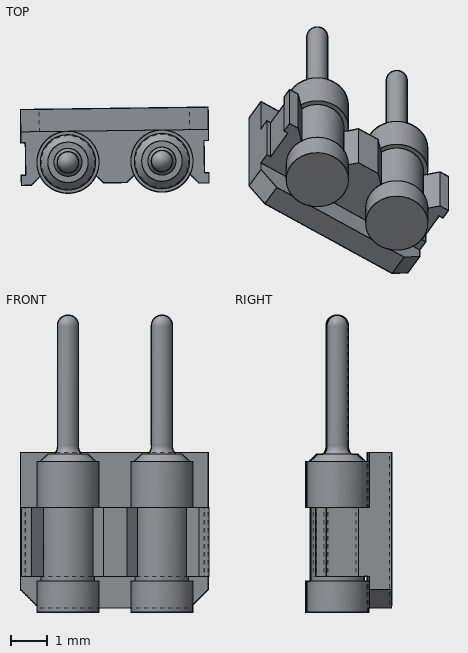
import cadquery as cq
import math

pin_pitch = 2.54
yaw_angle = 0.75

collar_radius = 1.68 / 2
barrel_radius = 1.45 / 2
tail_radius = 0.58 / 2
total_height = 8.05
foot_top = 0.845
collar_bottom = 2.83
shoulder_bottom = 4.09
shoulder_top = 4.28
shoulder_base_radius = 0.75
shoulder_top_radius = 0.55
flare_radius = 0.38
flare_top = 4.53
flare_sag = 0.03

carrier_width = 2 * pin_pitch
plate_back = 1.45
plate_front = collar_radius
plate_bottom = 0.11
plate_top = 4.33
plate_chamfer = 0.51
block_bottom = 0.975
outer_lip_depth = 0.61
middle_lip_depth = 0.57
lead_in_offset = 0.39
lead_in_end = 0.64
side_notch_depth = 0.12
side_notch_back = 0.54
side_notch_front = -0.33


def make_pin(x):
    """Revolved pin with foot, barrel, collar, flared root and domed tail."""
    dome_start = total_height - tail_radius
    dome_mid = tail_radius * math.sqrt(0.5)
    profile = (
        cq.Workplane("XZ")
        .lineTo(collar_radius, 0)
        .lineTo(collar_radius, foot_top)
        .lineTo(barrel_radius, foot_top)
        .lineTo(barrel_radius, collar_bottom)
        .lineTo(collar_radius, collar_bottom)
        .lineTo(collar_radius, shoulder_bottom)
        .lineTo(shoulder_base_radius, shoulder_bottom)
        .lineTo(shoulder_top_radius, shoulder_top)
        .lineTo(flare_radius, shoulder_top)
        .sagittaArc((tail_radius, flare_top), flare_sag)
        .lineTo(tail_radius, dome_start)
        .threePointArc((dome_mid, dome_start + dome_mid), (0, total_height))
        .close()
    )
    return profile.revolve(360, (0, 0, 0), (0, 1, 0)).translate((x, 0, 0))


def make_plate():
    """Back plate with its two lower corners cut at 45 degrees."""
    plate = cq.Workplane("XY").box(
        carrier_width,
        plate_back - plate_front,
        plate_top - plate_bottom,
        centered=(True, False, False),
    )
    plate = plate.translate((0, plate_front, plate_bottom))
    return plate.faces("<Z").edges("|Y").chamfer(plate_chamfer)


def make_block():
    """Gripping block, open to the front around each pin and notched at the sides."""
    pin_x = pin_pitch / 2
    side = carrier_width / 2
    notch_side = side - side_notch_depth
    lead_in_y = lead_in_offset - lead_in_end
    right_half = [
        (0, plate_front),
        (side, plate_front),
        (side, side_notch_back),
        (notch_side, side_notch_back),
        (notch_side, side_notch_front),
        (side, side_notch_front),
        (side, -outer_lip_depth),
        (pin_x + lead_in_offset + outer_lip_depth, -outer_lip_depth),
        (pin_x + lead_in_end, lead_in_y),
        (pin_x - lead_in_end, lead_in_y),
        (pin_x - lead_in_offset - middle_lip_depth, -middle_lip_depth),
        (0, -middle_lip_depth),
    ]
    half = cq.Workplane("XY").workplane(offset=block_bottom).polyline(right_half).close()
    half = half.extrude(collar_bottom - block_bottom)
    return half.union(half.mirror("YZ"))


result = make_plate().union(make_block())
for pin_x in (-pin_pitch / 2, pin_pitch / 2):
    result = result.union(make_pin(pin_x))
result = result.rotate((0, 0, 0), (0, 0, 1), yaw_angle)